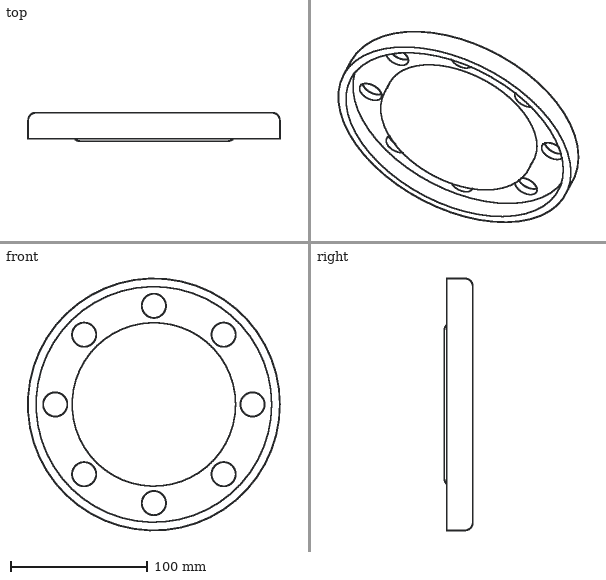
import cadquery as cq
import math

outer_radius = 92.5
total_depth = 21.0
rim_depth = 19.2
back_fillet = 6.0
wall = 6.1
floor_thickness = 6.0

boss_radius = 60.0
boss_fillet = 6.0
dish_sphere_radius = 75.0
dish_depth = 11.1
dish_lip_fillet = 6.0

hole_count = 8
hole_diameter = 17.5
bolt_circle_radius = 72.3


def disc(radius, thickness):
    """Disc standing on the back plane Y = 0 and growing toward -Y."""
    return cq.Workplane("XZ").circle(radius).extrude(thickness)


def make_flange():
    """Round plate with a raised rim and a rounded back edge."""
    plate = disc(outer_radius, rim_depth).faces(">Y").edges().fillet(back_fillet)
    pocket = disc(outer_radius - wall, rim_depth).translate((0, -floor_thickness, 0))
    return plate.cut(pocket)


def make_boss():
    """Boss that stands slightly proud of the rim, with a rounded front edge."""
    return disc(boss_radius, total_depth).faces("<Y").edges().fillet(boss_fillet)


def make_dish():
    """Spherical dish with a rounded lip tangent to the sphere and the boss face, revolved about Y."""
    front = -total_depth
    bottom = front + dish_depth
    sphere_center = bottom - dish_sphere_radius
    lip_center = front + dish_lip_fillet

    center_distance = dish_sphere_radius + dish_lip_fillet
    tangent_angle = math.acos((lip_center - sphere_center) / center_distance)
    lip_radius = center_distance * math.sin(tangent_angle)

    def sphere_point(angle):
        return (
            dish_sphere_radius * math.sin(angle),
            sphere_center + dish_sphere_radius * math.cos(angle),
        )

    def lip_point(angle):
        return (
            lip_radius - dish_lip_fillet * math.sin(angle),
            lip_center - dish_lip_fillet * math.cos(angle),
        )

    return (
        cq.Workplane("XY")
        .moveTo(0, front)
        .lineTo(lip_radius, front)
        .threePointArc(lip_point(tangent_angle / 2), sphere_point(tangent_angle))
        .threePointArc(sphere_point(tangent_angle / 2), (0, bottom))
        .close()
        .revolve(360, (0, 0, 0), (0, 1, 0))
    )


def make_bolt_holes():
    """Ring of through holes in the floor of the flange."""
    return (
        cq.Workplane("XZ")
        .polarArray(bolt_circle_radius, 0, 360, hole_count)
        .circle(hole_diameter / 2)
        .extrude(total_depth)
    )


result = make_flange().union(make_boss()).cut(make_dish()).cut(make_bolt_holes())